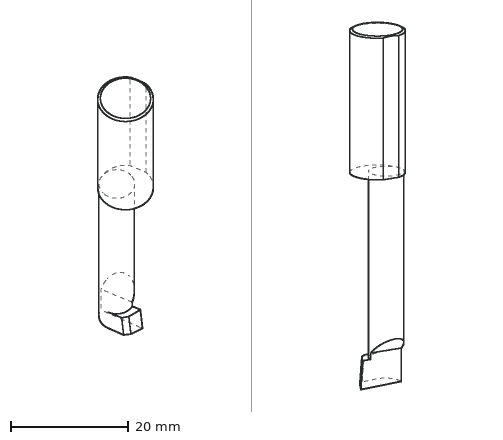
import cadquery as cq
import math

total_length = 63.5

shank_radius = 4.75
shank_length = 25.4
shank_bottom = total_length - shank_length
flat_distance = 4.5
chamfer_width = 0.475
chamfer_height = 0.25

neck_radius = 3.05
neck_x = neck_radius - shank_radius

relief_height = 6.2
runout_height = 2.8

tooth_height = 5.1
tip_x = 3.3
flank_lean = 0.41
front_edge_x = 1.3
flank_edge_x = 2.2
flank_edge_y = -2.2
end_angle_x = 2.0
end_angle_y = 6.0
margin = 3.2


def make_shank():
    shank = cq.Workplane("XZ").polyline([
        (0, shank_bottom),
        (shank_radius, shank_bottom),
        (shank_radius, total_length - chamfer_height),
        (shank_radius - chamfer_width, total_length),
        (0, total_length),
    ]).close().revolve(360, (0, 0, 0), (0, 1, 0))
    beyond_flat = cq.Workplane("XY").box(
        2 * shank_radius, shank_radius, shank_length, centered=(True, False, False)
    ).translate((0, flat_distance, shank_bottom))
    return shank.cut(beyond_flat)


def make_neck():
    neck = cq.Workplane("XY").center(neck_x, 0).circle(neck_radius).extrude(shank_bottom)
    relief = (
        cq.Workplane("YZ")
        .polyline([
            (0, 0),
            (0, relief_height),
            (neck_radius, relief_height + runout_height),
            (neck_radius, 0),
        ])
        .close()
        .extrude(neck_radius, both=True)
        .translate((neck_x, 0, 0))
    )
    return neck.cut(relief)


def tooth_section(z, lean):
    """Closed outline of the tooth at height z, with its flank moved inward by lean."""
    return cq.Wire.makePolygon([
        cq.Vector(neck_x, 0, z),
        cq.Vector(neck_x, -neck_radius, z),
        cq.Vector(front_edge_x - lean, -neck_radius, z),
        cq.Vector(flank_edge_x - lean, flank_edge_y, z),
        cq.Vector(tip_x - lean, 0, z),
    ], close=True)


def make_tooth():
    sections = [tooth_section(0, 0), tooth_section(tooth_height, flank_lean)]
    return cq.Workplane(cq.Solid.makeLoft(sections, True))


def make_end_waste():
    """Block below the sloping end face, which passes through the tip of the tooth."""
    normal = (math.tan(math.radians(end_angle_x)), math.tan(math.radians(end_angle_y)), 1)
    end_plane = cq.Plane(origin=(tip_x, 0, 0), xDir=(1, 0, -normal[0]), normal=normal)
    size = 4 * shank_radius + margin
    return cq.Workplane(end_plane).rect(size, size).extrude(-margin)


result = make_shank().union(make_neck()).union(make_tooth()).cut(make_end_waste())